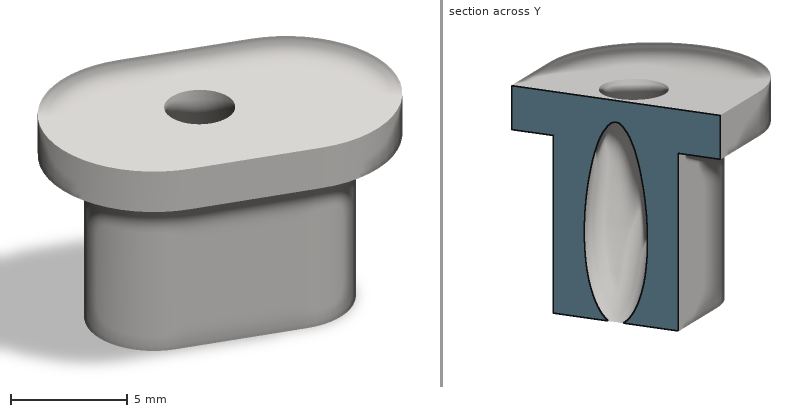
import cadquery as cq
import math

flange_width = 10.0
flange_length = 16.0
flange_thickness = 2.0
flange_overhang = 2.0
total_height = 10.0
long_axis_angle = 90
passage_diameter = 3.0
mouth_offset_y = -0.92
mouth_tilt = 12.0
bend_radius = 45.0

stem_width = flange_width - 2 * flange_overhang
stem_length = flange_length - 2 * flange_overhang
stem_height = total_height - flange_thickness
bend_center_y = mouth_offset_y + bend_radius * math.cos(math.radians(mouth_tilt))
bend_center_z = total_height + bend_radius * math.sin(math.radians(mouth_tilt))


def oblong(width, length, height, base_z):
    """Upright block with semicircular ends, its long side along Y."""
    return cq.Workplane("XY").workplane(offset=base_z).slot2D(length, width, long_axis_angle).extrude(height)


def curved_passage():
    """Round channel along a circular arc in the YZ plane, leaning towards +Y as it descends.

    A full torus serves as the cutter: only one stretch of it meets the part.
    """
    bend_center = cq.Vector(0, bend_center_y, bend_center_z)
    bend_axis = cq.Vector(1, 0, 0)
    return cq.Solid.makeTorus(bend_radius, passage_diameter / 2, bend_center, bend_axis)


stem = oblong(stem_width, stem_length, stem_height, 0)
flange = oblong(flange_width, flange_length, flange_thickness, stem_height)
result = stem.union(flange).cut(cq.Workplane(curved_passage()))